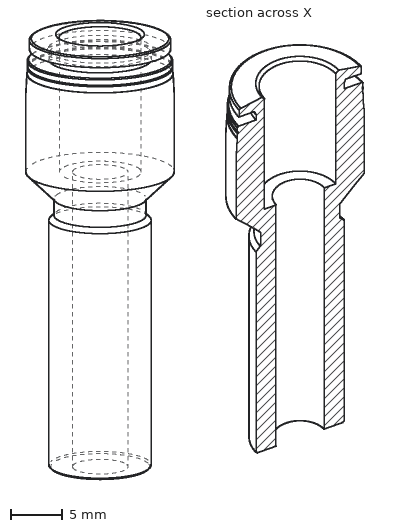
import cadquery as cq

total_height = 43.7
stem_end_chamfer = 0.17
stem_shoulder_z = 24.9
waist_z = 27.1
body_bottom_z = 29.8
body_taper_z = 37.63
sleeve_z = 39.72
groove_z = 40.35
groove_width = 0.15
body_top_z = 41.15
neck_flare_z = 41.8
collar_bottom_z = 42.2
collar_rim_z = 43.15
collar_edge_z = 43.25

stem_diameter = 10.0
waist_diameter = 9.0
body_diameter = 14.5
body_taper_diameter = 14.3
sleeve_diameter = 14.2
sleeve_top_diameter = 13.95
groove_diameter = 14.05
neck_diameter = 10.0
neck_flare_diameter = 10.3
collar_diameter = 13.8
collar_edge_diameter = 13.4
bore_diameter = 5.4
socket_diameter = 8.0
socket_mouth_diameter = 8.65

body_edge_chamfer = (sleeve_diameter - sleeve_top_diameter) / 2
socket_mouth_depth = (socket_mouth_diameter - socket_diameter) / 2
socket_floor_z = body_bottom_z
shoulder_chamfer = (stem_diameter - waist_diameter) / 2


def revolve_sections(sections):
    """Revolve (diameter, height) pairs, closed back to the Z axis at both ends."""
    rim = [(diameter / 2, height) for diameter, height in sections]
    points = [(0, rim[0][1])] + rim + [(0, rim[-1][1])]
    return cq.Workplane("XZ").polyline(points).close().revolve(360, (0, 0), (0, 1))


stem_sections = [
    (stem_diameter - 2 * stem_end_chamfer, 0),
    (stem_diameter, stem_end_chamfer),
    (stem_diameter, stem_shoulder_z),
    (waist_diameter, stem_shoulder_z + shoulder_chamfer),
    (waist_diameter, waist_z),
]

body_sections = [
    (body_diameter, body_bottom_z),
    (body_diameter, body_taper_z),
    (body_taper_diameter, sleeve_z),
    (sleeve_diameter, sleeve_z),
    (sleeve_diameter, groove_z),
    (groove_diameter, groove_z),
    (groove_diameter, groove_z + groove_width),
    (sleeve_diameter, groove_z + groove_width),
    (sleeve_diameter, body_top_z - body_edge_chamfer),
    (sleeve_top_diameter, body_top_z),
]

collar_sections = [
    (neck_diameter, body_top_z),
    (neck_diameter, neck_flare_z),
    (neck_flare_diameter, collar_bottom_z),
    (collar_diameter, collar_bottom_z),
    (collar_diameter, collar_rim_z),
    (collar_edge_diameter, collar_edge_z),
    (socket_mouth_diameter, total_height),
]

bore_sections = [
    (bore_diameter, 0),
    (bore_diameter, socket_floor_z),
    (socket_diameter, socket_floor_z),
    (socket_diameter, total_height - socket_mouth_depth),
    (socket_mouth_diameter, total_height),
]

outside = revolve_sections(stem_sections + body_sections + collar_sections)
result = outside.cut(revolve_sections(bore_sections))